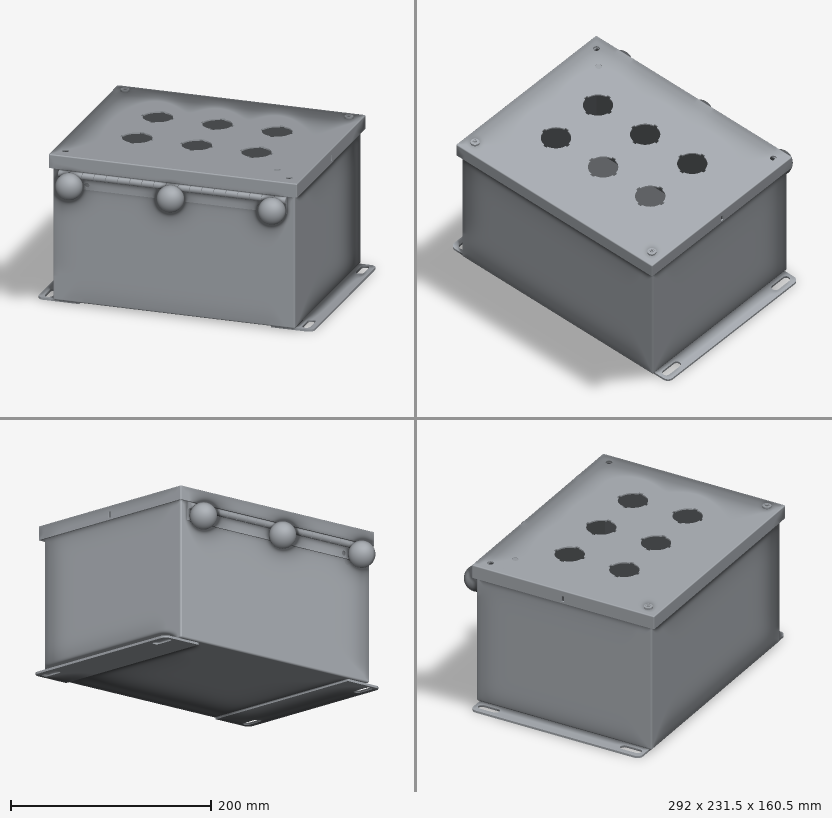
import cadquery as cq

SHEET = 1.5
FOOT_THICKNESS = 2.3
BOX_X = 256.0
BOX_Y = 202.5
BOX_MIDDLE_Y = -0.5
BOX_BEND = 1.8
RIM_WIDTH = 8.5
BOX_BOTTOM = FOOT_THICKNESS

FOOT_OUTER_X = 146.0
FOOT_INNER_X = 101.5
FOOT_Y = 195.7
FOOT_CORNER = 6.5
SLOT_WIDTH = 8.2
SLOT_LENGTH = 24.0
SLOT_X = 136.0
SLOT_Y = 82.0

LID_X = 262.5
LID_Y = 210.5
LID_TOP = 158.5
LID_BOTTOM = 144.0
LID_BEND = 1.2
LID_UNDERSIDE = LID_TOP - SHEET

BUTTON_PITCH = 63.0
BUTTON_COLUMNS = 3
BUTTON_ROWS = 2
BUTTON_DIAMETER = 30.5
NOTCH_WIDTH = 4.7
NOTCH_SPAN = 34.0

CORNER_X = 118.3
CORNER_Y = 91.0
CORNER_HOLE_DIAMETER = 6.7
STUD_DIAMETER = 6.7
STUD_DEPTH = 0.3
LID_STUD = (99.3, -73.3)
WALL_STUD = (97.3, 122.5)
SIDE_SLOT_Y = 3.2
SIDE_SLOT_Z = 6.0
SIDE_SLOT_MIDDLE = 149.3

SCREW_HEAD_DIAMETER = 9.0
SCREW_HEAD_HEIGHT = 2.0
SCREW_DIAMETER = 5.0
SOCKET_RIM_DIAMETER = 5.8
SOCKET_RIM_DEPTH = 0.3
SOCKET_HEX = 3.8
SOCKET_DEPTH = 1.5

KNUCKLE_COUNT = 19
KNUCKLE_GAP = 0.45
KNUCKLE_DIAMETER = 7.0
PIN_DIAMETER = 3.5
HINGE_LENGTH = 240.0
KNUCKLE_PITCH = (HINGE_LENGTH + KNUCKLE_GAP) / KNUCKLE_COUNT
LEAF_BOTTOM = 124.7
LEAF_TOP = 154.8
HINGE_Z = 139.5
LEAF_HOLE_DIAMETER = 5.0
LEAF_HOLE_PITCH = 91.5
LEAF_HOLE_Z = 129.7

BALL_DIAMETER = 27.5
BALL_PITCH = 107.2
BALL_Y = -112.5
BALL_Z = LEAF_HOLE_Z

FRONT_WALL = BOX_MIDDLE_Y - BOX_Y / 2
HINGE_Y = FRONT_WALL - KNUCKLE_DIAMETER / 2
LID_SKIRT_INSIDE = -LID_Y / 2 + SHEET


def block(x0, x1, y0, y1, z0, z1):
    """Rectangular block between two opposite corners."""
    return cq.Workplane("XY").box(x1 - x0, y1 - y0, z1 - z0, centered=False).translate((x0, y0, z0))


def centered_block(x, y, z0, z1):
    return block(-x / 2, x / 2, -y / 2, y / 2, z0, z1)


def hinge_rod(start, length, diameter):
    """Round rod along the hinge axis."""
    return cq.Workplane("YZ", origin=(start, HINGE_Y, HINGE_Z)).circle(diameter / 2).extrude(length)


def knuckles(first, clearance=0):
    """Every second knuckle from the given one, made longer at both ends by the clearance."""
    length = KNUCKLE_PITCH - KNUCKLE_GAP + 2 * clearance
    barrels = cq.Workplane("XY")
    for index in range(first, KNUCKLE_COUNT, 2):
        start = -HINGE_LENGTH / 2 + index * KNUCKLE_PITCH - clearance
        barrels = barrels.add(hinge_rod(start, length, KNUCKLE_DIAMETER))
    return barrels.combine()


def hinge_pin():
    return hinge_rod(-HINGE_LENGTH / 2, HINGE_LENGTH, PIN_DIAMETER)


def make_ball(x):
    return cq.Workplane("XY").sphere(BALL_DIAMETER / 2, direct=(1, 0, 0)).translate((x, BALL_Y, BALL_Z))


def make_foot(side):
    """Flat mounting strip with two slots, outer corners rounded."""
    foot = block(FOOT_INNER_X, FOOT_OUTER_X, -FOOT_Y / 2, FOOT_Y / 2, 0, FOOT_THICKNESS)
    foot = foot.edges("|Z and >X").fillet(FOOT_CORNER)
    slots = (
        cq.Workplane("XY")
        .pushPoints([(SLOT_X, -SLOT_Y), (SLOT_X, SLOT_Y)])
        .slot2D(SLOT_LENGTH, SLOT_WIDTH, 90)
        .extrude(FOOT_THICKNESS)
    )
    foot = foot.cut(slots).translate((0, BOX_MIDDLE_Y, 0))
    return foot if side > 0 else foot.mirror("YZ")


def make_enclosure():
    """Flanged open-topped box with its feet and the lower hinge leaf welded on."""
    box = centered_block(BOX_X, BOX_Y, BOX_BOTTOM, LID_UNDERSIDE)
    box = box.edges("|Z or <Z").fillet(BOX_BEND)
    floor = BOX_BOTTOM + SHEET
    inside = centered_block(BOX_X - 2 * SHEET, BOX_Y - 2 * SHEET, floor, LID_UNDERSIDE - SHEET)
    mouth = centered_block(BOX_X - 2 * RIM_WIDTH, BOX_Y - 2 * RIM_WIDTH, floor, LID_UNDERSIDE)
    box = box.cut(inside).cut(mouth).translate((0, BOX_MIDDLE_Y, 0))
    stud = (
        cq.Workplane("XZ", origin=(0, FRONT_WALL, 0))
        .center(*WALL_STUD)
        .circle(STUD_DIAMETER / 2)
        .extrude(-STUD_DEPTH)
    )
    box = box.cut(stud)
    for side in (-1, 1):
        box = box.union(make_foot(side))

    leaf = block(
        -HINGE_LENGTH / 2, HINGE_LENGTH / 2, FRONT_WALL - SHEET, FRONT_WALL, LEAF_BOTTOM, HINGE_Z
    )
    holes = (
        cq.Workplane("XZ", origin=(0, FRONT_WALL, LEAF_HOLE_Z))
        .pushPoints([(-LEAF_HOLE_PITCH, 0), (0, 0), (LEAF_HOLE_PITCH, 0)])
        .circle(LEAF_HOLE_DIAMETER / 2)
        .extrude(SHEET)
    )
    leaf = leaf.cut(holes).cut(knuckles(1, KNUCKLE_GAP))
    return box.union(leaf).union(knuckles(0)).cut(hinge_pin())


def button_openings():
    spots = cq.Workplane("XY", origin=(0, 0, LID_UNDERSIDE)).rarray(
        BUTTON_PITCH, BUTTON_PITCH, BUTTON_COLUMNS, BUTTON_ROWS
    )
    opening = spots.circle(BUTTON_DIAMETER / 2).extrude(SHEET)
    for size in ((NOTCH_SPAN, NOTCH_WIDTH), (NOTCH_WIDTH, NOTCH_SPAN)):
        opening = opening.union(spots.rect(*size).extrude(SHEET))
    return opening


def make_lid():
    """Shallow cover with its upper hinge leaf welded inside the skirt, and the hinge pin."""
    lid = centered_block(LID_X, LID_Y, LID_BOTTOM, LID_TOP).edges("|Z or >Z").fillet(LID_BEND)
    lid = lid.cut(centered_block(LID_X - 2 * SHEET, LID_Y - 2 * SHEET, LID_BOTTOM, LID_UNDERSIDE))
    lid = lid.cut(button_openings())

    top = cq.Workplane("XY", origin=(0, 0, LID_TOP))
    screw_holes = top.pushPoints([(-CORNER_X, CORNER_Y), (CORNER_X, CORNER_Y)])
    spare_holes = top.pushPoints([(-CORNER_X, -CORNER_Y), (CORNER_X, -CORNER_Y)])
    lid = lid.cut(screw_holes.circle(SCREW_DIAMETER / 2).extrude(-SHEET))
    lid = lid.cut(spare_holes.circle(CORNER_HOLE_DIAMETER / 2).extrude(-SHEET))
    lid = lid.cut(top.center(*LID_STUD).circle(STUD_DIAMETER / 2).extrude(-STUD_DEPTH))
    side_slots = centered_block(
        LID_X, SIDE_SLOT_Y, SIDE_SLOT_MIDDLE - SIDE_SLOT_Z / 2, SIDE_SLOT_MIDDLE + SIDE_SLOT_Z / 2
    )
    lid = lid.cut(side_slots)

    leaf = block(
        -HINGE_LENGTH / 2,
        HINGE_LENGTH / 2,
        LID_SKIRT_INSIDE,
        LID_SKIRT_INSIDE + SHEET,
        HINGE_Z,
        LEAF_TOP,
    )
    leaf = leaf.cut(knuckles(0, KNUCKLE_GAP))
    return lid.union(leaf).union(knuckles(1)).union(hinge_pin())


def make_screw(x):
    """Lid screw with a round head and a hexagon socket."""
    screw = (
        cq.Workplane("XY", origin=(x, CORNER_Y, LID_TOP))
        .circle(SCREW_HEAD_DIAMETER / 2)
        .extrude(SCREW_HEAD_HEIGHT)
        .faces("<Z")
        .workplane()
        .circle(SCREW_DIAMETER / 2)
        .extrude(SHEET)
    )
    head_top = cq.Workplane("XY", origin=(x, CORNER_Y, LID_TOP + SCREW_HEAD_HEIGHT))
    rim = head_top.circle(SOCKET_RIM_DIAMETER / 2).extrude(-SOCKET_RIM_DEPTH)
    socket = head_top.polygon(6, SOCKET_HEX).extrude(-SOCKET_DEPTH)
    return screw.cut(rim).cut(socket)


balls = [make_ball(x) for x in (-BALL_PITCH, 0, BALL_PITCH)]
screws = [make_screw(x) for x in (-CORNER_X, CORNER_X)]

enclosure = make_enclosure()
lid = make_lid()
for ball in balls:
    enclosure = enclosure.cut(ball)
    lid = lid.cut(ball)

result = cq.Compound.makeCompound(
    [
        *enclosure.vals(),
        *lid.vals(),
        *[screw.val() for screw in screws],
        *[ball.val() for ball in balls],
    ]
)